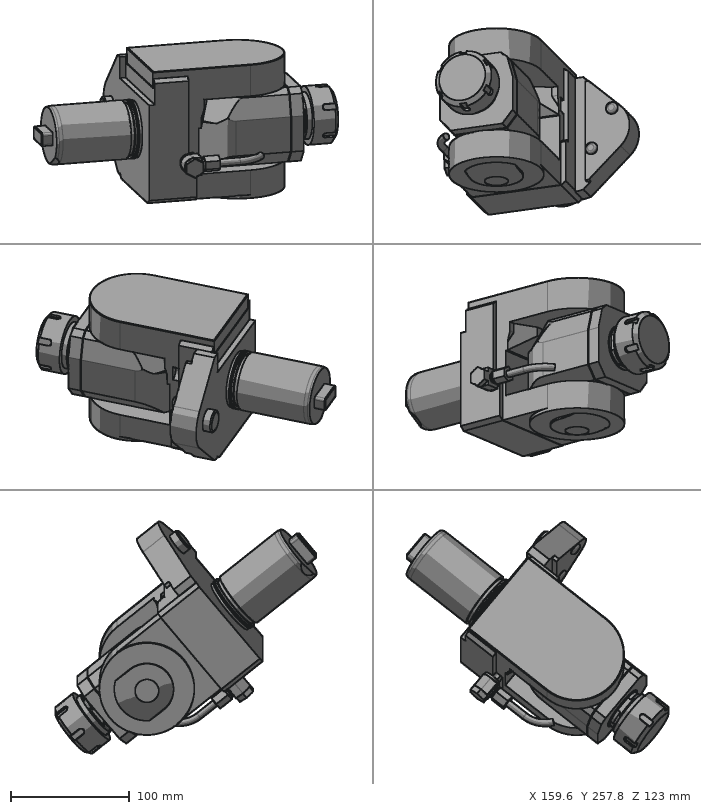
import cadquery as cq
import math

PIVOT_Y = 90.0

BLOCK_HALF = 44.3
BLOCK_DEPTH = 35.0
FOOT_DEPTH = 42.0
FOOT_TOP = -13.0
FOOT_CHAMFER = 2.3
BLOCK_BOTTOM = -54.4
BLOCK_TOP = 54.0
BLOCK_SHOULDER = 51.0
BLOCK_CHAMFER_X = 4.0
STEP_Z = 32.4
STEP_DEPTH = 5.2

EAR_RADIUS = 40.0
EAR_INNER = 32.4
UPPER_EAR_TOP = 60.0
LOWER_EAR_BOTTOM = -54.0
CAP_FRONT = 4.7
CAP_BOTTOM = 46.0
CAP_CHAMFER = 0.6
WEB_FACE = 45.0
WEB_UPPER_FACE = 49.6
WEB_SLOPE = (7.7, 24.5)
LIP_FACE = 59.2
LIP_ROOT = 47.0
LIP_HALF = 15.0
GROOVE_RADIUS = 6.2
GROOVE_Z = 19.2

COVER_BOTTOM = -57.0
DOME_BOTTOM = -63.0
DOME_BASE_RADIUS = 27.5
DOME_TIP_RADIUS = 10.0
DOME_TRIM_RADIUS = 22.5

ARM_X = -70.0
ARM_RADIUS = 24.8
ARM_SHOULDER_X = -51.5
ARM_THICKNESS = 18.6
ARM_LOWEST = -52.3
PLATE_BACK = 23.4
PLATE_EDGE_X = -55.0
PLATE_HALF_HEIGHT = 44.7
PIN_RADIUS = 9.6
PIN_LENGTH = 7.8
PIN_CHAMFER = 1.2
SCREW_OFFSET = (9.2, 17.0)
SCREW_RADIUS = 5.25
SCREW_HEIGHT = 3.0
SCREW_FILLET = 2.4

SHANK_RADIUS = 25.0
SEAL_RADIUS = 24.35
SEAL_GROOVES = ((0.0, 2.6), (4.0, 4.4))
COLLAR_LENGTH = 6.4
RELIEF_RADIUS = 22.7
BODY_START = 9.9
SHANK_END = 75.2
SHANK_TAPER_START = 70.0
SHANK_TAPER_RADIUS = 24.8
SHANK_CHAMFER_START = 73.2
SHANK_END_RADIUS = 24.2
SHANK_FLAT_ANGLE = -58.0
SHANK_FLAT_OFFSET = 22.4
SHANK_FLAT_LENGTH = 5.0
TANG_WIDTH = 25.2
TANG_HEIGHT = 11.8
TANG_END = 85.0
TANG_FILLET = 2.2
TANG_CHAMFER = 0.8

FITTING_Y = 34.5
FITTING_Z = -20.0
FITTING_STUB_RADIUS = 7.25
FITTING_STUB_END = 46.8
FITTING_RADIUS = 7.8
FITTING_BODY_END = 59.8
FITTING_END = 64.83
FITTING_ACROSS_FLATS = 14.5
ELBOW_X = 53.1
ELBOW_NECK_RADIUS = 4.2
ELBOW_NECK_END = 43.6
NUT_SHOULDER_RADIUS = 5.2
NUT_START = 45.4
NUT_END = 58.4
NUT_ACROSS_FLATS = 11.6
TUBE_RADIUS = 3.0
TUBE_BEND_START = 76.5
TUBE_BEND_RADIUS = 27.4
TUBE_BEND_ANGLE = math.radians(54.0)

HEAD_HALF = 32.7
HEAD_FRONT = 139.2
HEAD_SHOULDER = (27.8, 27.7)
HEAD_TOP_HALF = 22.0
HEAD_SIDE_TOP = 9.6
HEAD_SIDE_BOTTOM = -21.3
HEAD_BOTTOM_HALF = 23.5
HEAD_REAR_CENTRE = 79.2
HEAD_LEDGE_Z = 7.4
CONE_TOP_RADIUS = 25.6
CONE_BOTTOM_RADIUS = 39.0
JOINT_Y = 127.6
JOINT_WIDTH = 0.7
JOINT_DEPTH = 0.3

CHUCK_END = 172.81
NUT_FACE = 169.4
NUT_REAR = 150.3
NUT_RADIUS = 25.0
NUT_END_RADIUS = 20.7
NECK_RADIUS = 20.0
NECK_END = 145.8
NECK_TAPER_END = 144.4
RING_RADIUS = 18.0
RING_START = 143.0
SPIGOT_RADIUS = 19.3
SPIGOT_END = 139.9
SPANNER_FLAT = 16.6
SPANNER_FLAT_END = 144.8
SLOT_COUNT = 6
SLOT_WIDTH = 5.4
SLOT_DEPTH = 2.2
SLOT_END = 159.0


def along_y(start_y):
    """Workplane facing +Y at start_y; its local X is -X and its local Y is Z."""
    return cq.Workplane("XZ", origin=(0, start_y, 0)).transformed(rotate=(0, 180, 0))


def box(x_range, y_range, z_range):
    """Axis-aligned box given by its limits."""
    limits = (x_range, y_range, z_range)
    lengths = [high - low for low, high in limits]
    corner = [low for low, high in limits]
    return cq.Workplane("XY").box(*lengths, centered=False).translate(tuple(corner))


def prism_y(points, start_y, end_y):
    """Prism along Y whose (X, Z) outline is given by points."""
    return cq.Workplane("XZ", origin=(0, start_y, 0)).polyline(points).close().extrude(start_y - end_y)


def turned_y(points):
    """Solid of revolution about the Y axis from (radius, Y) points."""
    return cq.Workplane("XY").polyline(points).close().revolve(360, (0, 0), (0, 1))


def flange_block():
    """Chamfered block with a stepped upper front and a deeper foot."""
    inner = BLOCK_HALF - BLOCK_CHAMFER_X
    half = [(inner, BLOCK_BOTTOM), (BLOCK_HALF, -BLOCK_SHOULDER),
            (BLOCK_HALF, BLOCK_SHOULDER), (inner, BLOCK_TOP)]
    outline = half + [(-x, z) for x, z in reversed(half)]
    block = prism_y(outline, 0, BLOCK_DEPTH)
    step = box((-BLOCK_HALF, BLOCK_HALF), (0, STEP_DEPTH), (STEP_Z, BLOCK_TOP))
    side = [(0, BLOCK_BOTTOM), (FOOT_DEPTH, BLOCK_BOTTOM), (FOOT_DEPTH, FOOT_TOP - FOOT_CHAMFER),
            (FOOT_DEPTH - FOOT_CHAMFER, FOOT_TOP), (0, FOOT_TOP)]
    envelope = cq.Workplane("YZ").polyline(side).close().extrude(BLOCK_HALF, both=True)
    foot = prism_y(outline, 0, FOOT_DEPTH).intersect(envelope)
    return block.cut(step).union(foot)


def ear(front_y, bottom_z, top_z):
    """Plate with straight sides and a round end about the pivot axis."""
    return (
        cq.Workplane("XY", origin=(0, 0, bottom_z))
        .moveTo(-EAR_RADIUS, front_y)
        .lineTo(EAR_RADIUS, front_y)
        .lineTo(EAR_RADIUS, PIVOT_Y)
        .threePointArc((0, PIVOT_Y + EAR_RADIUS), (-EAR_RADIUS, PIVOT_Y))
        .close()
        .extrude(top_z - bottom_z)
    )


def fork():
    """Upper ear with its cap, lower ear and the web with its sloped upper part."""
    upper = ear(STEP_DEPTH, EAR_INNER, CAP_BOTTOM)
    cap = ear(CAP_FRONT, CAP_BOTTOM, UPPER_EAR_TOP).faces(">Z").edges().chamfer(CAP_CHAMFER)
    lower = ear(STEP_DEPTH, LOWER_EAR_BOTTOM, -EAR_INNER)
    slope_bottom, slope_top = WEB_SLOPE
    web_side = [(STEP_DEPTH, -EAR_INNER), (WEB_FACE, -EAR_INNER), (WEB_FACE, slope_bottom),
                (WEB_UPPER_FACE, slope_top), (WEB_UPPER_FACE, EAR_INNER), (STEP_DEPTH, EAR_INNER)]
    web = cq.Workplane("YZ").polyline(web_side).close().extrude(EAR_RADIUS, both=True)
    lip_side = [(STEP_DEPTH, slope_bottom), (LIP_ROOT, slope_bottom), (LIP_FACE, slope_top),
                (LIP_FACE, EAR_INNER), (STEP_DEPTH, EAR_INNER)]
    lip = cq.Workplane("YZ").polyline(lip_side).close().extrude(EAR_RADIUS, both=True)
    lip_plan = [(-EAR_RADIUS, STEP_DEPTH), (-EAR_RADIUS, LIP_ROOT), (-LIP_HALF, LIP_FACE),
                (LIP_HALF, LIP_FACE), (EAR_RADIUS, LIP_ROOT), (EAR_RADIUS, STEP_DEPTH)]
    lip = lip.intersect(cq.Workplane("XY").polyline(lip_plan).close().extrude(EAR_INNER))
    return upper.union(cap).union(lower).union(web).union(lip)


def web_groove():
    """Half-round groove along Y in the side of the fork, behind the block."""
    return (
        along_y(BLOCK_DEPTH)
        .center(EAR_RADIUS, GROOVE_Z)
        .circle(GROOVE_RADIUS)
        .extrude(FOOT_DEPTH - BLOCK_DEPTH)
    )


def pivot_cover():
    """Round cover with a conical dome, trimmed to a U-shaped outline."""
    disc = (
        cq.Workplane("XY", origin=(0, PIVOT_Y, COVER_BOTTOM))
        .circle(EAR_RADIUS)
        .extrude(LOWER_EAR_BOTTOM - COVER_BOTTOM)
    )
    dome = (
        cq.Workplane("XY", origin=(0, PIVOT_Y, COVER_BOTTOM))
        .circle(DOME_BASE_RADIUS)
        .workplane(offset=DOME_BOTTOM - COVER_BOTTOM)
        .circle(DOME_TIP_RADIUS)
        .loft(ruled=True)
    )
    trim = (
        cq.Workplane("XY", origin=(0, PIVOT_Y, DOME_BOTTOM))
        .moveTo(DOME_TRIM_RADIUS, DOME_BASE_RADIUS)
        .lineTo(-DOME_TRIM_RADIUS, DOME_BASE_RADIUS)
        .lineTo(-DOME_TRIM_RADIUS, 0)
        .threePointArc((0, -DOME_TRIM_RADIUS), (DOME_TRIM_RADIUS, 0))
        .close()
        .extrude(COVER_BOTTOM - DOME_BOTTOM)
    )
    return disc.union(dome.intersect(trim))


def arm_outline(end_y):
    """Tapered arm whose flanks are tangent to its round end, from Y = 0 to end_y."""
    reach_x = ARM_SHOULDER_X - ARM_X
    distance = math.hypot(reach_x, BLOCK_SHOULDER)
    tangent = math.atan2(BLOCK_SHOULDER, reach_x) + math.acos(ARM_RADIUS / distance)
    tangent_x = ARM_X + ARM_RADIUS * math.cos(tangent)
    tangent_z = ARM_RADIUS * math.sin(tangent)
    return (
        cq.Workplane("XZ")
        .moveTo(-BLOCK_HALF, BLOCK_SHOULDER)
        .lineTo(ARM_SHOULDER_X, BLOCK_SHOULDER)
        .lineTo(tangent_x, tangent_z)
        .threePointArc((ARM_X - ARM_RADIUS, 0), (tangent_x, -tangent_z))
        .lineTo(ARM_SHOULDER_X, -BLOCK_SHOULDER)
        .lineTo(-BLOCK_HALF, ARM_LOWEST)
        .close()
        .extrude(-end_y)
    )


def torque_arm():
    """Arm, back plate, two domed screws and the locating pin."""
    plate_limits = box(
        (ARM_X - ARM_RADIUS, PLATE_EDGE_X), (0, PLATE_BACK), (-PLATE_HALF_HEIGHT, PLATE_HALF_HEIGHT)
    )
    arm = arm_outline(ARM_THICKNESS).union(arm_outline(PLATE_BACK).intersect(plate_limits))
    pin = (
        cq.Workplane("XZ", origin=(ARM_X, 0, 0))
        .circle(PIN_RADIUS)
        .extrude(PIN_LENGTH)
        .faces("<Y")
        .chamfer(PIN_CHAMFER)
    )
    arm = arm.union(pin)
    offset_x, offset_z = SCREW_OFFSET
    for sign in (-1, 1):
        screw = (
            along_y(PLATE_BACK)
            .center(-ARM_X - sign * offset_x, -sign * offset_z)
            .circle(SCREW_RADIUS)
            .extrude(SCREW_HEIGHT)
            .faces(">Y")
            .edges()
            .fillet(SCREW_FILLET)
        )
        arm = arm.union(screw)
    return arm


def shank():
    """Stepped round shank with a slanted end flat and a drive tang."""
    profile = [(0, BLOCK_DEPTH / 2), (SHANK_RADIUS, BLOCK_DEPTH / 2)]
    for start, end in SEAL_GROOVES:
        profile += [(SHANK_RADIUS, -start), (SEAL_RADIUS, -start),
                    (SEAL_RADIUS, -end), (SHANK_RADIUS, -end)]
    profile += [
        (SHANK_RADIUS, -COLLAR_LENGTH),
        (RELIEF_RADIUS, -COLLAR_LENGTH),
        (RELIEF_RADIUS, -BODY_START),
        (SHANK_RADIUS, -BODY_START),
        (SHANK_RADIUS, -SHANK_TAPER_START),
        (SHANK_TAPER_RADIUS, -SHANK_CHAMFER_START),
        (SHANK_END_RADIUS, -SHANK_END),
        (0, -SHANK_END),
    ]
    body = turned_y(profile)
    flat = (
        cq.Workplane("XY")
        .moveTo(SHANK_FLAT_OFFSET, -SHANK_END)
        .lineTo(SHANK_RADIUS, SHANK_FLAT_LENGTH - SHANK_END)
        .lineTo(SHANK_RADIUS, -SHANK_END)
        .close()
        .extrude(SHANK_RADIUS, both=True)
        .rotate((0, 0, 0), (0, 1, 0), -SHANK_FLAT_ANGLE)
    )
    tang = (
        cq.Workplane("XZ", origin=(0, -SHANK_END, 0))
        .rect(TANG_WIDTH, TANG_HEIGHT)
        .extrude(TANG_END - SHANK_END)
        .edges("|Y")
        .fillet(TANG_FILLET)
        .faces("<Y")
        .chamfer(TANG_CHAMFER)
    )
    return body.cut(flat).union(tang)


def hexagon_prism(plane, origin, across_flats, length):
    """Hexagonal prism with its first corner on the plane's local X axis."""
    across_corners = across_flats / math.cos(math.pi / 6)
    return cq.Workplane(plane, origin=origin).polygon(6, across_corners).extrude(length)


def fitting_disc(start_x, end_x, radius):
    """Cylinder of the fitting along X."""
    return (
        cq.Workplane("YZ", origin=(start_x, FITTING_Y, FITTING_Z))
        .circle(radius)
        .extrude(end_x - start_x)
    )


def elbow_disc(start_y, end_y, radius):
    """Cylinder of the elbow outlet along Y."""
    return along_y(start_y).center(-ELBOW_X, FITTING_Z).circle(radius).extrude(end_y - start_y)


def coolant_fitting():
    """Elbow fitting with an end hexagon, an outlet nut and the bent tube."""
    top_y = FITTING_Y + FITTING_ACROSS_FLATS / 2
    fitting = fitting_disc(BLOCK_HALF - FITTING_STUB_RADIUS, FITTING_STUB_END, FITTING_STUB_RADIUS)
    fitting = fitting.union(fitting_disc(FITTING_STUB_END, FITTING_BODY_END, FITTING_RADIUS))
    square = box(
        (FITTING_STUB_END, FITTING_BODY_END),
        (FITTING_Y, top_y),
        (FITTING_Z - FITTING_RADIUS, FITTING_Z + FITTING_RADIUS),
    )
    above = square.translate((0, FITTING_ACROSS_FLATS / 2, 0))
    fitting = fitting.union(square).cut(above)
    end_hexagon = hexagon_prism(
        "YZ", (FITTING_BODY_END, FITTING_Y, FITTING_Z), FITTING_ACROSS_FLATS, FITTING_END - FITTING_BODY_END
    ).rotate((0, FITTING_Y, FITTING_Z), (1, FITTING_Y, FITTING_Z), 90)
    neck = elbow_disc(FITTING_Y, ELBOW_NECK_END, ELBOW_NECK_RADIUS)
    shoulder = elbow_disc(ELBOW_NECK_END, NUT_START, NUT_SHOULDER_RADIUS)
    nut = hexagon_prism(
        "XZ", (ELBOW_X, NUT_START, FITTING_Z), NUT_ACROSS_FLATS, NUT_START - NUT_END
    ).rotate((ELBOW_X, 0, FITTING_Z), (ELBOW_X, 1, FITTING_Z), 90)
    bend_x = ELBOW_X - TUBE_BEND_RADIUS
    middle = TUBE_BEND_ANGLE / 2
    bend_points = [
        (bend_x + TUBE_BEND_RADIUS * math.cos(angle), TUBE_BEND_START + TUBE_BEND_RADIUS * math.sin(angle))
        for angle in (middle, TUBE_BEND_ANGLE)
    ]
    path = (
        cq.Workplane("XY", origin=(0, 0, FITTING_Z))
        .moveTo(ELBOW_X, NUT_START)
        .lineTo(ELBOW_X, TUBE_BEND_START)
        .threePointArc(*bend_points)
    )
    tube = along_y(NUT_START).center(-ELBOW_X, FITTING_Z).circle(TUBE_RADIUS).sweep(path)
    for part in (end_hexagon, neck, shoulder, nut, tube):
        fitting = fitting.union(part)
    return fitting


def build_housing():
    """Flange block, fork, torque arm, shank and coolant fitting as one solid."""
    housing = flange_block().union(fork()).cut(web_groove())
    for part in (pivot_cover(), torque_arm(), shank(), coolant_fitting()):
        housing = housing.union(part)
    return housing


def head_block():
    """Many-sided block with a round rear, a conical relief and a joint line."""
    half = [
        (HEAD_BOTTOM_HALF, -EAR_INNER),
        (HEAD_HALF, HEAD_SIDE_BOTTOM),
        (HEAD_HALF, HEAD_SIDE_TOP),
        HEAD_SHOULDER,
        (HEAD_TOP_HALF, EAR_INNER),
    ]
    outline = half + [(-x, z) for x, z in reversed(half)]
    plan = (
        cq.Workplane("XY", origin=(0, 0, -EAR_INNER))
        .moveTo(HEAD_HALF, HEAD_FRONT)
        .lineTo(-HEAD_HALF, HEAD_FRONT)
        .lineTo(-HEAD_HALF, HEAD_REAR_CENTRE)
        .threePointArc((0, HEAD_REAR_CENTRE - HEAD_HALF), (HEAD_HALF, HEAD_REAR_CENTRE))
        .close()
        .extrude(2 * EAR_INNER)
    )
    block = prism_y(outline, HEAD_REAR_CENTRE - HEAD_HALF, HEAD_FRONT).intersect(plan)
    relief_box = box((-HEAD_HALF, HEAD_HALF), (0, PIVOT_Y), (HEAD_LEDGE_Z, EAR_INNER))
    cone = (
        cq.Workplane("XY", origin=(0, PIVOT_Y, HEAD_LEDGE_Z))
        .circle(CONE_BOTTOM_RADIUS)
        .workplane(offset=EAR_INNER - HEAD_LEDGE_Z)
        .circle(CONE_TOP_RADIUS)
        .loft(ruled=True)
    )
    block = block.cut(relief_box.cut(cone))
    joint = prism_y(outline, JOINT_Y, JOINT_Y + JOINT_WIDTH)
    core = along_y(JOINT_Y).polyline(outline).close().offset2D(-JOINT_DEPTH).extrude(JOINT_WIDTH)
    return block.cut(joint.cut(core))


def chuck():
    """Turned collet chuck with spanner flats and slots around its nut."""
    body = turned_y([
        (0, HEAD_REAR_CENTRE),
        (RING_RADIUS, HEAD_REAR_CENTRE),
        (RING_RADIUS, HEAD_FRONT),
        (SPIGOT_RADIUS, HEAD_FRONT),
        (SPIGOT_RADIUS, SPIGOT_END),
        (RING_RADIUS, SPIGOT_END),
        (RING_RADIUS, RING_START),
        (SPIGOT_RADIUS, NECK_TAPER_END),
        (NECK_RADIUS, NECK_END),
        (NECK_RADIUS, NUT_REAR),
        (NUT_RADIUS, NUT_REAR),
        (NUT_RADIUS, NUT_FACE),
        (NUT_END_RADIUS, CHUCK_END),
        (0, CHUCK_END),
    ])
    flat = box((-NUT_RADIUS, NUT_RADIUS), (SPIGOT_END, SPANNER_FLAT_END), (SPANNER_FLAT, NUT_RADIUS))
    for quarter in range(4):
        body = body.cut(flat.rotate((0, 0, 0), (0, 1, 0), 90 * quarter))
    slot_floor = NUT_RADIUS - SLOT_DEPTH
    round_end = SLOT_END + SLOT_WIDTH / 2
    slot = (
        cq.Workplane("XY", origin=(0, 0, slot_floor))
        .moveTo(SLOT_WIDTH / 2, CHUCK_END)
        .lineTo(SLOT_WIDTH / 2, round_end)
        .threePointArc((0, SLOT_END), (-SLOT_WIDTH / 2, round_end))
        .lineTo(-SLOT_WIDTH / 2, CHUCK_END)
        .close()
        .extrude(SLOT_DEPTH)
    )
    for index in range(SLOT_COUNT):
        body = body.cut(slot.rotate((0, 0, 0), (0, 1, 0), 360 / SLOT_COUNT * index))
    return body


def build_swivel_head():
    """Head block and collet chuck as one solid held between the fork ears."""
    return head_block().union(chuck())


housing = build_housing()
swivel_head = build_swivel_head()

result = cq.Compound.makeCompound([housing.val(), swivel_head.val()])